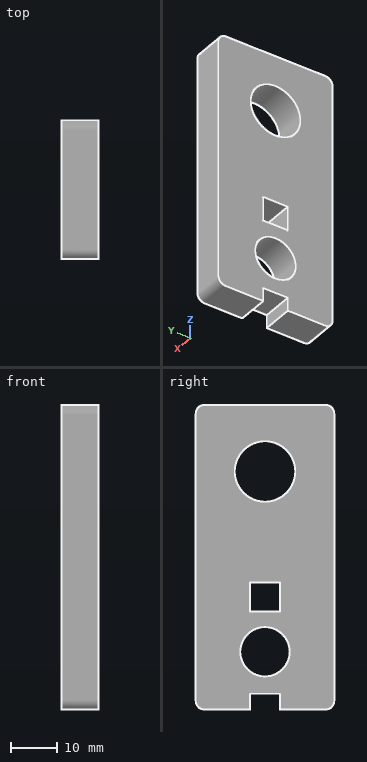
import cadquery as cq

THICKNESS = 8.0
WIDTH = 30.0
HEIGHT = 65.8
CORNER_RADIUS = 2.0

UPPER_HOLE_DIAMETER = 13.0
UPPER_HOLE_HEIGHT = 51.4
LOWER_HOLE_DIAMETER = 10.6
LOWER_HOLE_HEIGHT = 12.5

SLOT_WIDTH = 6.4
WINDOW_BOTTOM = 21.2
WINDOW_HEIGHT = 6.2
NOTCH_DEPTH = 3.4


def make_plate():
    """Plate standing on Z = 0, centred on X and Y, with rounded corners."""
    plate = cq.Workplane("XY").box(THICKNESS, WIDTH, HEIGHT, centered=(True, True, False))
    return plate.edges("|X").fillet(CORNER_RADIUS)


def hole_cutter(diameter, height):
    """Cylinder along X through the full thickness, on the plate's centre line."""
    start = cq.Workplane("YZ", origin=(-THICKNESS / 2, 0, height))
    return start.circle(diameter / 2).extrude(THICKNESS)


def slot_cutter(bottom, height):
    """Block through the full thickness, on the plate's centre line."""
    block = cq.Workplane("XY", origin=(0, 0, bottom))
    return block.box(THICKNESS, SLOT_WIDTH, height, centered=(True, True, False))


result = (
    make_plate()
    .cut(hole_cutter(UPPER_HOLE_DIAMETER, UPPER_HOLE_HEIGHT))
    .cut(hole_cutter(LOWER_HOLE_DIAMETER, LOWER_HOLE_HEIGHT))
    .cut(slot_cutter(WINDOW_BOTTOM, WINDOW_HEIGHT))
    .cut(slot_cutter(0, NOTCH_DEPTH))
)